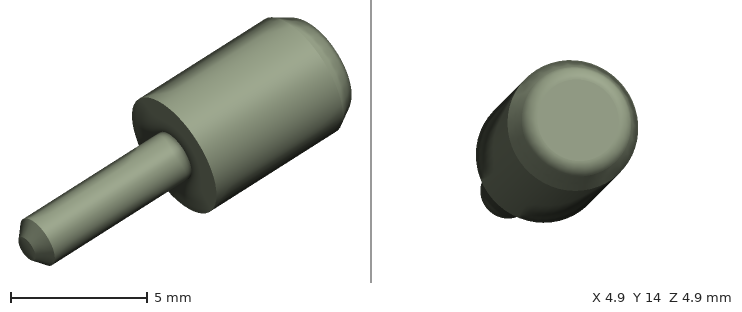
import cadquery as cq
import math

total_length = 14.0
head_diameter = 4.9
head_length = total_length / 2
pin_diameter = 2.0
pin_length = total_length - head_length

pin_chamfer = 0.5
taper_length = 1.0
taper_angle = 30.0
end_fillet = 0.6

head_radius = head_diameter / 2
pin_radius = pin_diameter / 2


def make_head():
    """Cylinder from Y = 0 to head_length, tapered and rounded at its +Y end."""
    taper_start = head_length - taper_length
    end_radius = head_radius - taper_length * math.tan(math.radians(taper_angle))
    return (
        cq.Workplane("XY")
        .lineTo(head_radius, 0)
        .lineTo(head_radius, taper_start)
        .lineTo(end_radius, head_length)
        .lineTo(0, head_length)
        .close()
        .revolve(360, (0, 0), (0, 1))
        .faces(">Y")
        .edges()
        .fillet(end_fillet)
    )


def make_pin():
    """Straight pin standing on the -Y face of the head, chamfered at its free end."""
    return (
        cq.Workplane("XZ")
        .circle(pin_radius)
        .extrude(pin_length)
        .faces("<Y")
        .chamfer(pin_chamfer)
    )


head = make_head()
pin = make_pin()
result = cq.Compound.makeCompound([head.val(), pin.val()])